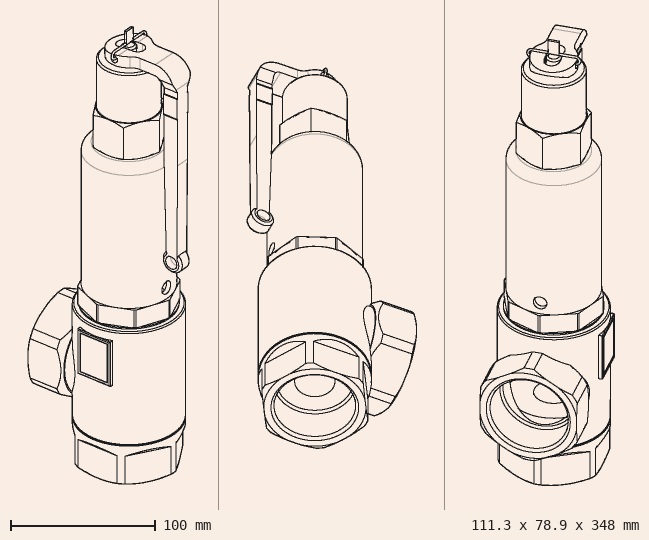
import cadquery as cq
import math

body_diameter = 78.3
body_radius = body_diameter / 2
body_top = 125.5
body_top_chamfer = 1.0

hexagon_sides = 6
hexagon_across_flats = 70.3
flat_top = 24.7
flat_run_out = 5.2
run_out_slope = 45
base_chamfer_height = 2.0
base_chamfer_width = 4.0
groove_height = 33.0
groove_width = 1.0
groove_depth = 0.5

outlet_height = 74.5
outlet_end_x = -61.3
outlet_flats = 69.5
outlet_corner_radius = 38.3
outlet_back_x = -31.0
outlet_back_chamfer = 5.0
outlet_front_chamfer_length = 1.7
outlet_front_chamfer_width = 3.0
outlet_neck_radius = 32.5

socket_radius = 28.2
socket_mouth_radius = 30.3
socket_depth = 25.8
outlet_bore_radius = 26.5
chamber_radius = 32.0
chamber_floor = 54.0
seat_bore_radius = 14.0

plaque_width = 28.5
plaque_bottom = 81.8
plaque_top = 118.0
plaque_front_y = -39.7
plaque_rim = 2.5
plaque_recess = 0.5
plaque_bevel = 0.7

bonnet_radius = 33.0
bonnet_neck_radius = 34.8
octagon_sides = 8
octagon_corner_radius = 35.5
octagon_bottom = 126.7
octagon_top = 141.5
bonnet_top = 256.5
bonnet_rounding = 7.0
bonnet_wall = 3.5
bonnet_bore_radius = bonnet_radius - bonnet_wall
bonnet_roof_thickness = 7.0
vent_radius = 5.0
vent_height = 150.5

cap_across_flats = 46.3
cap_corner_radius = cap_across_flats / math.sqrt(3)
cap_hexagon_top = 285.8
cap_hexagon_chamfer_width = 3.5
cap_hexagon_chamfer_height = 1.7
cap_diameter = 45.0
cap_radius = cap_diameter / 2
cap_top = 325.5
cap_chamfer = 1.5

lever_bottom = 327.0
lever_top = 336.0
tip_x = -16.7
tip_bottom = 330.0
tip_top = 333.0
head_radius = -tip_x
underside_slope_x = -10.5
topside_slope_x = 3.5
arm_half_width = 10.0
head_blend_radius = 10.5
handle_inner_x = 35.0
handle_outer_x = 47.0
bend_inner_radius = 4.5
bend_outer_radius = 16.0
handle_end_inner_x = 37.2
handle_end_outer_x = 46.3
handle_taper_start = 257.5
handle_half_width = 5.5
shoulder_top = 325.0
shoulder_bottom = 316.8
eye_x = 41.5
eye_height = 176.5
eye_radius = 8.5
eye_hole_radius = 5.0
eye_chamfer = 1.7
pad_top = 312.0
pad_bottom = 295.2
pad_height = 0.7
slot_left = -10.0
slot_right = 13.2
slot_half_width = 5.5

spindle_radius = 3.5
spindle_head_radius = 5.2
spindle_head_bottom = 327.2
spindle_head_top = 335.5
spindle_head_chamfer = 1.5
wire_radius = 0.87
wire_low_z = 331.7
wire_high_z = 337.5
wire_half_length = 19.5
wire_hole_radius = 2.8
tag_half_width = 4.0
tag_thickness = 1.7
tag_top = 348.0


def cylinder(radius, bottom, top):
    return cq.Workplane("XY", origin=(0, 0, bottom)).circle(radius).extrude(top - bottom)


def turned(profile):
    """Solid of revolution about Z from (radius, height) points."""
    return cq.Workplane("XZ").polyline(profile).close().revolve(360, (0, 0, 0), (0, 1, 0))


def prism(sides, across_flats, height):
    """Regular prism on the XY plane with a pair of flats facing +Y and -Y."""
    corner_diameter = across_flats / math.cos(math.pi / sides)
    half_side_angle = 180 / sides
    base = cq.Workplane("XY").transformed(rotate=(0, 0, 90 - half_side_angle))
    return base.polygon(sides, corner_diameter).extrude(height)


def socket_cut():
    """Bore running up +Z from the origin: mouth chamfer, straight socket and conical end."""
    mouth_length = socket_mouth_radius - socket_radius
    end_height = socket_depth + socket_radius - outlet_bore_radius
    return turned(
        [
            (0, 0),
            (socket_mouth_radius, 0),
            (socket_radius, mouth_length),
            (socket_radius, socket_depth),
            (outlet_bore_radius, end_height),
            (0, end_height),
        ]
    )


def along_outlet(shape):
    """Turn a shape built up +Z so that it runs in +X from the outlet end, on the outlet axis."""
    return shape.rotate((0, 0, 0), (0, 1, 0), 90).translate((outlet_end_x, 0, outlet_height))


def make_barrel():
    """Round barrel whose lower end is cut to a wrench hexagon with sloping run-outs."""
    barrel = turned(
        [
            (0, 0),
            (body_radius - base_chamfer_width, 0),
            (body_radius, base_chamfer_height),
            (body_radius, body_top - body_top_chamfer),
            (body_radius - body_top_chamfer, body_top),
            (0, body_top),
        ]
    )
    run_out = (
        prism(hexagon_sides, hexagon_across_flats, flat_top)
        .faces(">Z")
        .wires()
        .toPending()
        .workplane()
        .extrude(flat_run_out, taper=-run_out_slope)
    )
    upper = cylinder(2 * body_radius, flat_top + flat_run_out, body_top)
    return barrel.intersect(run_out.union(upper))


def make_outlet():
    hexagon_length = outlet_back_x - outlet_end_x
    envelope = turned(
        [
            (0, 0),
            (outlet_corner_radius - outlet_front_chamfer_width, 0),
            (outlet_corner_radius, outlet_front_chamfer_length),
            (outlet_corner_radius, hexagon_length - outlet_back_chamfer),
            (outlet_corner_radius - outlet_back_chamfer, hexagon_length),
            (0, hexagon_length),
        ]
    )
    hexagon = prism(hexagon_sides, outlet_flats, hexagon_length).intersect(envelope)
    neck = cylinder(outlet_neck_radius, hexagon_length, -outlet_end_x)
    return along_outlet(hexagon.union(neck))


def make_plaque():
    height = plaque_top - plaque_bottom
    middle = (plaque_top + plaque_bottom) / 2
    plate = (
        cq.Workplane("XZ", origin=(0, 0, middle))
        .rect(plaque_width, height)
        .extrude(-plaque_front_y)
        .faces("<Y")
        .edges()
        .chamfer(plaque_bevel)
    )
    field = (
        cq.Workplane("XZ", origin=(0, plaque_front_y + plaque_recess, middle))
        .rect(plaque_width - 2 * plaque_rim, height - 2 * plaque_rim)
        .extrude(plaque_recess)
    )
    return plate.cut(field)


def make_body():
    """Housing with an inlet socket below, a side outlet and a chamber above the seat floor.

    The outlet bore stops at the chamber wall line below the floor, so the seat keeps its full width.
    """
    groove = cylinder(2 * body_radius, groove_height, groove_height + groove_width).cut(
        cylinder(body_radius - groove_depth, groove_height, groove_height + groove_width)
    )
    chamber = cylinder(chamber_radius, chamber_floor, body_top)
    outlet_bore = along_outlet(cylinder(outlet_bore_radius, 0, -outlet_end_x)).cut(
        cylinder(chamber_radius, 0, chamber_floor)
    )
    return (
        make_barrel()
        .cut(groove)
        .union(make_outlet())
        .union(make_plaque())
        .cut(chamber)
        .cut(along_outlet(socket_cut()))
        .cut(outlet_bore)
        .cut(socket_cut())
        .cut(cylinder(seat_bore_radius, 0, chamber_floor))
    )


def make_bonnet():
    neck = cylinder(bonnet_neck_radius, body_top, octagon_bottom)
    octagon = (
        prism(octagon_sides, 2 * bonnet_radius, octagon_top - octagon_bottom)
        .rotate((0, 0, 0), (0, 0, 1), 180 / octagon_sides)
        .translate((0, 0, octagon_bottom))
        .intersect(cylinder(octagon_corner_radius, octagon_bottom, octagon_top))
    )
    barrel = cylinder(bonnet_radius, octagon_bottom, bonnet_top).faces(">Z").edges().fillet(bonnet_rounding)
    bore = cylinder(bonnet_bore_radius, body_top, bonnet_top - bonnet_roof_thickness)
    vent = (
        cq.Workplane("YZ", origin=(0, 0, vent_height))
        .circle(vent_radius)
        .extrude(2 * bonnet_radius, both=True)
    )
    return neck.union(octagon).union(barrel).cut(bore).cut(vent)


def make_cap():
    height = cap_hexagon_top - bonnet_top
    face_radius = cap_corner_radius - cap_hexagon_chamfer_width
    envelope = turned(
        [
            (0, 0),
            (face_radius, 0),
            (cap_corner_radius, cap_hexagon_chamfer_height),
            (cap_corner_radius, height - cap_hexagon_chamfer_height),
            (face_radius, height),
            (0, height),
        ]
    )
    hexagon = prism(hexagon_sides, cap_across_flats, height).intersect(envelope)
    crown = cylinder(cap_radius, bonnet_top, cap_top).faces(">Z").edges().chamfer(cap_chamfer)
    spindle_hole = cylinder(spindle_radius, bonnet_top, cap_top)
    return hexagon.translate((0, 0, bonnet_top)).union(crown).cut(spindle_hole)


def lever_plan():
    """Plan outline: round head blending into a straight arm."""
    blend_y = arm_half_width + head_blend_radius
    blend_x = math.sqrt((head_radius + head_blend_radius) ** 2 - blend_y**2)
    touch = head_radius / (head_radius + head_blend_radius)
    touch_x = blend_x * touch
    touch_y = blend_y * touch
    middle_angle = (math.atan2(-blend_y, -blend_x) - math.pi / 2) / 2
    mid_x = blend_x + head_blend_radius * math.cos(middle_angle)
    mid_y = blend_y + head_blend_radius * math.sin(middle_angle)
    return (
        cq.Workplane("XY", origin=(0, 0, eye_height))
        .moveTo(handle_outer_x, arm_half_width)
        .lineTo(blend_x, arm_half_width)
        .threePointArc((mid_x, mid_y), (touch_x, touch_y))
        .threePointArc((tip_x, 0), (touch_x, -touch_y))
        .threePointArc((mid_x, -mid_y), (blend_x, -arm_half_width))
        .lineTo(handle_outer_x, -arm_half_width)
        .close()
        .extrude(lever_top - eye_height)
    )


def lever_side():
    """Side outline: wedge-tipped arm bent down into a tapering handle."""
    return (
        cq.Workplane("XZ")
        .moveTo(tip_x, tip_bottom)
        .lineTo(underside_slope_x, lever_bottom)
        .lineTo(handle_inner_x - bend_inner_radius, lever_bottom)
        .radiusArc((handle_inner_x, lever_bottom - bend_inner_radius), bend_inner_radius)
        .lineTo(handle_inner_x, handle_taper_start)
        .lineTo(handle_end_inner_x, eye_height)
        .lineTo(handle_end_outer_x, eye_height)
        .lineTo(handle_outer_x, handle_taper_start)
        .lineTo(handle_outer_x, lever_top - bend_outer_radius)
        .radiusArc((handle_outer_x - bend_outer_radius, lever_top), -bend_outer_radius)
        .lineTo(topside_slope_x, lever_top)
        .lineTo(tip_x, tip_top)
        .close()
        .extrude(head_radius, both=True)
    )


def lever_end():
    """End outline: wide arm that narrows at sloping shoulders to the handle."""
    return (
        cq.Workplane("YZ", origin=(tip_x, 0, 0))
        .polyline(
            [
                (handle_half_width, eye_height),
                (handle_half_width, shoulder_bottom),
                (arm_half_width, shoulder_top),
                (head_radius, shoulder_top),
                (head_radius, lever_top),
                (-head_radius, lever_top),
                (-head_radius, shoulder_top),
                (-arm_half_width, shoulder_top),
                (-handle_half_width, shoulder_bottom),
                (-handle_half_width, eye_height),
            ]
        )
        .close()
        .extrude(handle_outer_x - tip_x)
    )


def make_lever():
    eye = (
        cq.Workplane("XZ", origin=(eye_x, 0, eye_height))
        .circle(eye_radius)
        .extrude(handle_half_width, both=True)
        .edges()
        .chamfer(eye_chamfer)
    )
    eye_hole = (
        cq.Workplane("XZ", origin=(eye_x, 0, eye_height))
        .circle(eye_hole_radius)
        .extrude(eye_radius, both=True)
    )
    pads = cq.Workplane("XY").box(
        handle_outer_x - handle_inner_x,
        2 * (handle_half_width + pad_height),
        pad_top - pad_bottom,
    )
    pads = pads.translate(((handle_inner_x + handle_outer_x) / 2, 0, (pad_top + pad_bottom) / 2))
    slot = (
        cq.Workplane("XY", origin=((slot_left + slot_right) / 2, 0, lever_bottom))
        .slot2D(slot_right - slot_left, 2 * slot_half_width)
        .extrude(lever_top - lever_bottom)
    )
    wire_hole = (
        cq.Workplane("XZ", origin=(0, 0, wire_low_z))
        .circle(wire_hole_radius)
        .extrude(head_radius, both=True)
    )
    return (
        lever_plan()
        .intersect(lever_side())
        .intersect(lever_end())
        .union(eye)
        .union(pads)
        .cut(eye_hole)
        .cut(slot)
        .cut(wire_hole)
    )


def make_wire_loop():
    """Closed wire loop in the YZ plane with round ends."""
    bend_radius = (wire_high_z - wire_low_z) / 2
    straight_end = wire_half_length - wire_radius - bend_radius
    middle_z = (wire_low_z + wire_high_z) / 2
    path = (
        cq.Workplane("YZ")
        .moveTo(0, wire_low_z)
        .lineTo(straight_end, wire_low_z)
        .threePointArc((straight_end + bend_radius, middle_z), (straight_end, wire_high_z))
        .lineTo(-straight_end, wire_high_z)
        .threePointArc((-straight_end - bend_radius, middle_z), (-straight_end, wire_low_z))
        .close()
    )
    return cq.Workplane("XZ", origin=(0, 0, wire_low_z)).circle(wire_radius).sweep(path)


def make_sealing_wire():
    tag_height = tag_top - wire_high_z
    tag = cq.Workplane("XY").box(tag_thickness, 2 * tag_half_width, tag_height)
    return make_wire_loop().union(tag.translate((0, 0, wire_high_z + tag_height / 2)))


def make_spindle():
    stem = cylinder(spindle_radius, bonnet_top, spindle_head_bottom)
    head = (
        cylinder(spindle_head_radius, spindle_head_bottom, spindle_head_top)
        .faces(">Z")
        .edges()
        .chamfer(spindle_head_chamfer)
    )
    return stem.union(head).cut(make_wire_loop())


body = make_body()
bonnet = make_bonnet()
cap = make_cap()
lever = make_lever()
spindle = make_spindle()
sealing_wire = make_sealing_wire()

result = cq.Compound.makeCompound(
    [body.val(), bonnet.val(), cap.val(), lever.val(), spindle.val(), sealing_wire.val()]
)